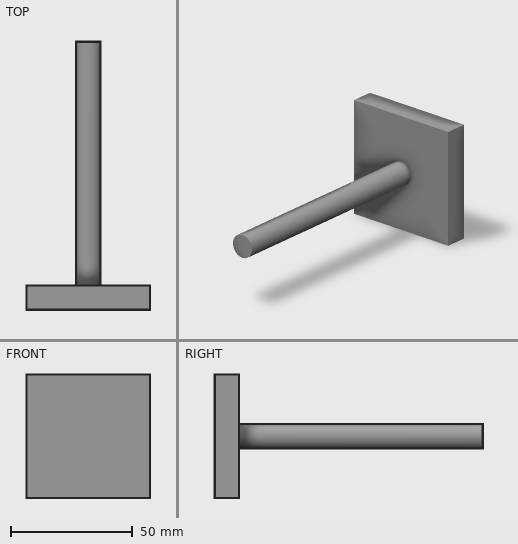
import cadquery as cq

total_length = 110.0
plate_side = 50.8
plate_thickness = 10.0
rod_diameter = 10.2

rod_length = total_length - plate_thickness


def make_plate():
    """Square plate, with its front face at Y = 0."""
    return cq.Workplane("XY").box(
        plate_side, plate_thickness, plate_side, centered=(True, False, True)
    )


def add_rod(body):
    """Round rod standing on the centre of the plate's back face, along +Y."""
    rod = (
        cq.Workplane("XZ", origin=(0, plate_thickness, 0))
        .circle(rod_diameter / 2)
        .extrude(-rod_length)
    )
    return body.union(rod)


result = add_rod(make_plate())